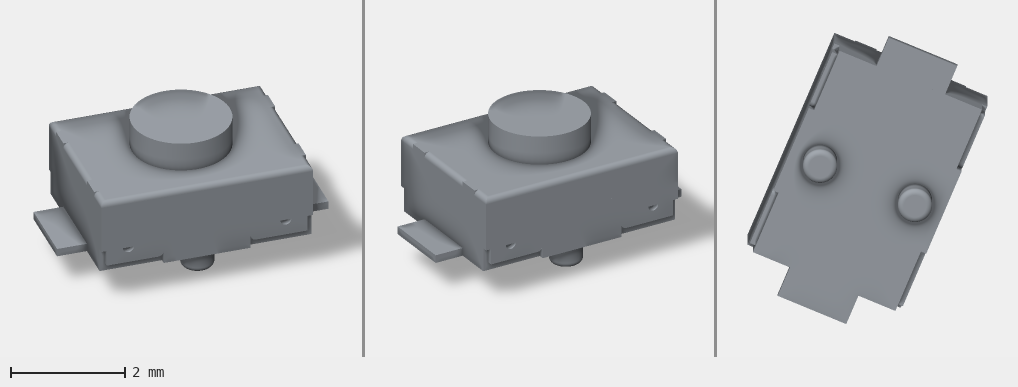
import cadquery as cq

BODY_WIDTH = 2.9
BODY_LENGTH = 3.9
BODY_HEIGHT = 1.45
EDGE_RADIUS = 0.1

SHEET = 0.1
CORNER_CUT_WIDTH = 0.4
CORNER_CUT_LENGTH = 0.6
CUT_RADIUS = 0.1
TAB_WIDTH = 0.5
TAB_BOTTOM = 0.85
TAB_RELIEF_WIDTH = 0.4
TAB_RELIEF_DEPTH = 0.2
SKIRT_BOTTOM = 0.15
SKIRT_FOOT_TOP = 0.45
SKIRT_FOOT_LENGTH = BODY_LENGTH - 2 * SHEET
SKIRT_LENGTH = BODY_LENGTH - 2 * CORNER_CUT_LENGTH
SKIRT_NOTCH_WIDTH = 0.2
WINDOW_LENGTH = 1.6
WINDOW_TOP = 0.8
WINDOW_TOP_RADIUS = 0.1
WINDOW_FOOT_RADIUS = 0.1

BUTTON_DIAMETER = 1.8
BUTTON_TOP = 2.0

PEG_DIAMETER = 0.6
PEG_LENGTH = 0.5
PEG_SPACING = 1.8
PEG_TIP_RADIUS = 0.1

TERMINAL_WIDTH = TAB_WIDTH + 2 * TAB_RELIEF_WIDTH
TERMINAL_THICKNESS = 0.15
OVERALL_LENGTH = 5.0
TERMINAL_LENGTH = (OVERALL_LENGTH - BODY_LENGTH) / 2

PLATE_BOTTOM = BODY_HEIGHT - SHEET
SIDES = (-1, 1)


def block(width, length, bottom, top, x=0.0, y=0.0):
    """Upright box centred on (x, y) that spans from bottom to top."""
    return cq.Workplane("XY", origin=(x, y, bottom)).box(
        width, length, top - bottom, centered=(True, True, False)
    )


def rounded_envelope():
    """Outer block of the body with its four top edges rounded."""
    return block(BODY_WIDTH, BODY_LENGTH, 0, BODY_HEIGHT).faces(">Z").edges().fillet(EDGE_RADIUS)


def corner_cut(x_side, y_side):
    """Cut through the cover plate at one corner, rounded at its inner corner."""
    x_centre = x_side * (BODY_WIDTH - CORNER_CUT_WIDTH) / 2
    y_centre = y_side * (BODY_LENGTH - CORNER_CUT_LENGTH) / 2
    cut = block(CORNER_CUT_WIDTH, CORNER_CUT_LENGTH, PLATE_BOTTOM, BODY_HEIGHT, x_centre, y_centre)
    inner_x = "<X" if x_side > 0 else ">X"
    inner_y = "<Y" if y_side > 0 else ">Y"
    return cut.faces(inner_x).edges("|Z").edges(inner_y).fillet(CUT_RADIUS)


def tab_relief(x_side, y_side):
    """Cut through the cover plate beside an end tab, rounded at its two inner corners."""
    x_centre = x_side * (TAB_WIDTH + TAB_RELIEF_WIDTH) / 2
    y_centre = y_side * (BODY_LENGTH - TAB_RELIEF_DEPTH) / 2
    relief = block(TAB_RELIEF_WIDTH, TAB_RELIEF_DEPTH, PLATE_BOTTOM, BODY_HEIGHT, x_centre, y_centre)
    inner_y = "<Y" if y_side > 0 else ">Y"
    return relief.faces(inner_y).edges("|Z").fillet(CUT_RADIUS)


def cover_plate():
    """Flat top of the cover: bent edges follow the rounded envelope, flat lugs stay square."""
    flat_plate = block(BODY_WIDTH, BODY_LENGTH, PLATE_BOTTOM, BODY_HEIGHT)
    plate = flat_plate.intersect(rounded_envelope())
    lug_width = (BODY_WIDTH - TERMINAL_WIDTH) / 2 - CORNER_CUT_WIDTH
    lug_x = (TERMINAL_WIDTH + lug_width) / 2
    for x_side in SIDES:
        lugs = block(lug_width, BODY_LENGTH, PLATE_BOTTOM, BODY_HEIGHT, x_side * lug_x)
        plate = plate.union(lugs)
    for x_side in SIDES:
        for y_side in SIDES:
            plate = plate.cut(corner_cut(x_side, y_side))
            plate = plate.cut(tab_relief(x_side, y_side))
    return plate.cut(cq.Workplane("XY").circle(BUTTON_DIAMETER / 2).extrude(BODY_HEIGHT))


def end_tab(y_side):
    """Tab bent down from the plate over one end of the base."""
    y_centre = y_side * (BODY_LENGTH - SHEET) / 2
    return block(TAB_WIDTH, SHEET, TAB_BOTTOM, PLATE_BOTTOM, y=y_centre)


def skirt(x_side):
    """Side wall of the cover with a longer foot, two relief notches and a window."""
    x_centre = x_side * (BODY_WIDTH - SHEET) / 2
    wall = block(SHEET, SKIRT_LENGTH, SKIRT_FOOT_TOP, PLATE_BOTTOM, x_centre)
    foot = block(SHEET, SKIRT_FOOT_LENGTH, SKIRT_BOTTOM, SKIRT_FOOT_TOP, x_centre)
    wall = wall.union(foot)

    notch_y = (SKIRT_LENGTH + SKIRT_NOTCH_WIDTH) / 2
    notches = (
        cq.Workplane("YZ", origin=(x_centre - SHEET / 2, 0, SKIRT_FOOT_TOP))
        .pushPoints([(-notch_y, 0), (notch_y, 0)])
        .circle(SKIRT_NOTCH_WIDTH / 2)
        .extrude(SHEET)
    )
    wall = wall.cut(notches).cut(base_pad(x_side))

    foot_corners = [
        edge
        for edge in wall.faces("<Z").edges("|X").vals()
        if abs(edge.Center().y) < WINDOW_LENGTH / 2 + WINDOW_FOOT_RADIUS
    ]
    return wall.newObject(foot_corners).fillet(WINDOW_FOOT_RADIUS)


def make_cover():
    cover = cover_plate()
    for side in SIDES:
        cover = cover.union(end_tab(side)).union(skirt(side))
    return cover


def base_pad(x_side):
    """Raised pad of the base that fills the window of one skirt."""
    x_centre = x_side * (BODY_WIDTH - SHEET) / 2
    pad = block(SHEET, WINDOW_LENGTH, 0, WINDOW_TOP, x_centre)
    return pad.edges("|X and >Z").fillet(WINDOW_TOP_RADIUS)


def peg(x_side):
    """Round locating peg with a rounded tip."""
    return (
        cq.Workplane("XY", origin=(x_side * PEG_SPACING / 2, 0, -PEG_LENGTH))
        .circle(PEG_DIAMETER / 2)
        .extrude(PEG_LENGTH)
        .faces("<Z")
        .edges()
        .fillet(PEG_TIP_RADIUS)
    )


def make_base(cover, button):
    """Moulded base: fills the cover out to the envelope, with recessed lower sides and two pegs."""
    base = rounded_envelope()
    for side in SIDES:
        side_x = side * (BODY_WIDTH - SHEET) / 2
        base = base.cut(block(SHEET, BODY_LENGTH, 0, SKIRT_FOOT_TOP, side_x))
        base = base.union(base_pad(side)).union(peg(side))
    return base.cut(cover).cut(button)


def make_button():
    """Round button that rests on the base and passes through the cover plate."""
    return (
        cq.Workplane("XY", origin=(0, 0, PLATE_BOTTOM))
        .circle(BUTTON_DIAMETER / 2)
        .extrude(BUTTON_TOP - PLATE_BOTTOM)
    )


def make_terminal(y_side):
    """Flat solder terminal against one end of the base."""
    y_centre = y_side * (BODY_LENGTH + TERMINAL_LENGTH) / 2
    return block(TERMINAL_WIDTH, TERMINAL_LENGTH, 0, TERMINAL_THICKNESS, y=y_centre)


cover = make_cover()
button = make_button()
base = make_base(cover, button)
terminals = [make_terminal(side) for side in SIDES]

result = cq.Compound.makeCompound(
    [
        base.solids().val(),
        cover.solids().val(),
        button.val(),
        *[terminal.val() for terminal in terminals],
    ]
)